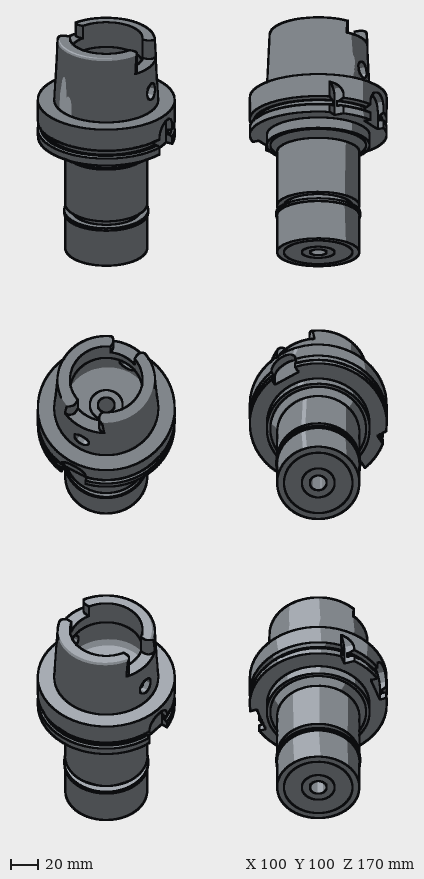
import cadquery as cq
import math


TOTAL_HEIGHT = 170.0
SHANK_LENGTH = 50.0
FLANGE_THICKNESS = 29.0
COLLAR_LENGTH = 8.0
NUT_HEIGHT = 30.8
NUT_GAP = 5.3

FLANGE_TOP = TOTAL_HEIGHT - SHANK_LENGTH
FLANGE_BOTTOM = FLANGE_TOP - FLANGE_THICKNESS
COLLAR_BOTTOM = FLANGE_BOTTOM - COLLAR_LENGTH
BARREL_BOTTOM = NUT_HEIGHT + NUT_GAP

SHANK_BASE_DIAMETER = 76.0
SHANK_TAPER = 0.1
SHANK_TIP_DIAMETER = SHANK_BASE_DIAMETER - SHANK_TAPER * SHANK_LENGTH
SHANK_TIP_FILLET = 2.0

ENTRY_DIAMETER = 52.9
ENTRY_DEPTH = 20.0
CHAMBER_DIAMETER = 63.0
CHAMBER_WALL_DEPTH = 40.0
FLOOR_FILLET = (CHAMBER_DIAMETER - ENTRY_DIAMETER) / 2
FLOOR_Z = TOTAL_HEIGHT - CHAMBER_WALL_DEPTH - FLOOR_FILLET

NOTCH_WIDTH = 20.0
NOTCH_DEPTH_LEFT = 10.0
NOTCH_DEPTH_RIGHT = 15.0
NOTCH_SHOULDER_X = 32.3
NOTCH_CORNER_RADIUS = 5.0

CROSS_HOLE_DIAMETER = 12.2
CROSS_HOLE_DEPTH = 35.0

FLANGE_DIAMETER = 100.0
GROOVE_DIAMETER = 91.8
GROOVE_OFFSET = 17.0
GROOVE_FLOOR_WIDTH = 3.5
GROOVE_UPPER_BEVEL = 1.7
GROOVE_LOWER_BEVEL = 1.2
GROOVE_BEVEL_ANGLE = 30

SLOT_WIDTH = NOTCH_WIDTH
SLOT_TOP_OFFSET = 5.3
KEY_SLOT_FLOOR_X = 44.0
SIDE_SLOT_FLOOR_X = 31.1
SIDE_SLOT_WALL_Y = 31.6

COLLAR_DIAMETER = 75.0
BARREL_DIAMETER = 60.0
CONE_HEIGHT = 5.1
CONE_DIAMETER = 69.9
SPIGOT_DIAMETER = 50.0

NUT_DIAMETER = BARREL_DIAMETER
NUT_RIM_DIAMETER = 61.4
NUT_RIM_HEIGHT = 2.0

COLLET_DIAMETER = 24.0
COLLET_BORE = CROSS_HOLE_DIAMETER


def revolved(outline):
    """Solid of revolution about Z from (diameter, z) pairs of one half section."""
    points = [(diameter / 2, z) for diameter, z in outline]
    return cq.Workplane("YZ").polyline(points).close().revolve(360, (0, 0), (0, 1))


def cylinder(diameter, bottom, top):
    return cq.Workplane("XY").workplane(offset=bottom).circle(diameter / 2).extrude(top - bottom)


def holder_blank():
    """Outside of the holder, from the spigot inside the nut up to the shank's tip."""
    upper_edge = FLANGE_TOP - GROOVE_OFFSET
    upper_bevel_end = upper_edge - GROOVE_UPPER_BEVEL
    lower_bevel_end = upper_bevel_end - GROOVE_FLOOR_WIDTH
    lower_edge = lower_bevel_end - GROOVE_LOWER_BEVEL
    bevel_slope = math.tan(math.radians(GROOVE_BEVEL_ANGLE))
    upper_bevel_diameter = FLANGE_DIAMETER - 2 * GROOVE_UPPER_BEVEL / bevel_slope
    lower_bevel_diameter = FLANGE_DIAMETER - 2 * GROOVE_LOWER_BEVEL / bevel_slope
    blank = revolved([
        (0, 0),
        (SPIGOT_DIAMETER, 0),
        (SPIGOT_DIAMETER, BARREL_BOTTOM),
        (BARREL_DIAMETER, BARREL_BOTTOM),
        (BARREL_DIAMETER, COLLAR_BOTTOM - CONE_HEIGHT),
        (CONE_DIAMETER, COLLAR_BOTTOM),
        (COLLAR_DIAMETER, COLLAR_BOTTOM),
        (COLLAR_DIAMETER, FLANGE_BOTTOM),
        (FLANGE_DIAMETER, FLANGE_BOTTOM),
        (FLANGE_DIAMETER, lower_edge),
        (lower_bevel_diameter, lower_bevel_end),
        (GROOVE_DIAMETER, lower_bevel_end),
        (GROOVE_DIAMETER, upper_bevel_end),
        (upper_bevel_diameter, upper_bevel_end),
        (FLANGE_DIAMETER, upper_edge),
        (FLANGE_DIAMETER, FLANGE_TOP),
        (SHANK_BASE_DIAMETER, FLANGE_TOP),
        (SHANK_TIP_DIAMETER, TOTAL_HEIGHT),
        (0, TOTAL_HEIGHT),
    ])
    return blank.faces(">Z").edges().fillet(SHANK_TIP_FILLET)


def shank_hollow():
    chamber = cylinder(CHAMBER_DIAMETER, FLOOR_Z, TOTAL_HEIGHT - ENTRY_DEPTH)
    chamber = chamber.faces("<Z").edges().fillet(FLOOR_FILLET)
    return chamber.union(cylinder(ENTRY_DIAMETER, TOTAL_HEIGHT - ENTRY_DEPTH, TOTAL_HEIGHT))


def drive_notch(side, depth):
    """Notch cutter on side +1 or -1 of X; it widens past the rounded rim ends."""
    half_width = NOTCH_WIDTH / 2
    radius = NOTCH_CORNER_RADIUS
    reach = SHANK_BASE_DIAMETER / 2
    corner_start = NOTCH_SHOULDER_X - radius
    corner_end = half_width + radius
    arc_x = corner_start + radius * math.sin(math.radians(45))
    arc_y = corner_end - radius * math.cos(math.radians(45))
    return (
        cq.Workplane("XY")
        .workplane(offset=TOTAL_HEIGHT - depth)
        .moveTo(0, -half_width)
        .lineTo(side * corner_start, -half_width)
        .threePointArc((side * arc_x, -arc_y), (side * NOTCH_SHOULDER_X, -corner_end))
        .lineTo(side * NOTCH_SHOULDER_X, -reach)
        .lineTo(side * reach, -reach)
        .lineTo(side * reach, reach)
        .lineTo(side * NOTCH_SHOULDER_X, reach)
        .lineTo(side * NOTCH_SHOULDER_X, corner_end)
        .threePointArc((side * arc_x, arc_y), (side * corner_start, half_width))
        .lineTo(0, half_width)
        .close()
        .extrude(depth)
    )


def flange_slot(side, floor_x, center_y):
    """Round-topped slot cutter, open to the flange's lower face and outwards along X."""
    radius = SLOT_WIDTH / 2
    crown_z = FLANGE_TOP - SLOT_TOP_OFFSET
    outline = (
        cq.Workplane("YZ")
        .workplane(offset=side * floor_x)
        .moveTo(center_y - radius, FLANGE_BOTTOM)
        .lineTo(center_y - radius, crown_z - radius)
        .threePointArc((center_y, crown_z), (center_y + radius, crown_z - radius))
        .lineTo(center_y + radius, FLANGE_BOTTOM)
        .close()
    )
    return outline.extrude(side * (FLANGE_DIAMETER / 2 - floor_x))


def make_holder():
    cross_hole = (
        cq.Workplane("YZ")
        .center(0, TOTAL_HEIGHT - CROSS_HOLE_DEPTH)
        .circle(CROSS_HOLE_DIAMETER / 2)
        .extrude(SHANK_BASE_DIAMETER / 2, both=True)
    )
    body = holder_blank().cut(shank_hollow()).cut(cross_hole)
    body = body.cut(drive_notch(-1, NOTCH_DEPTH_LEFT)).cut(drive_notch(1, NOTCH_DEPTH_RIGHT))
    for side in (-1, 1):
        body = body.cut(flange_slot(side, KEY_SLOT_FLOOR_X, 0))
    body = body.cut(flange_slot(-1, SIDE_SLOT_FLOOR_X, SIDE_SLOT_WALL_Y + SLOT_WIDTH / 2))
    return body.cut(cylinder(COLLET_DIAMETER, 0, FLOOR_Z))


def make_nut():
    """Ring around the holder's spigot, with a slightly wider rim at its top."""
    ring = cylinder(NUT_DIAMETER, 0, NUT_HEIGHT)
    rim = cylinder(NUT_RIM_DIAMETER, NUT_HEIGHT - NUT_RIM_HEIGHT, NUT_HEIGHT)
    return ring.union(rim).cut(cylinder(SPIGOT_DIAMETER, 0, NUT_HEIGHT))


def make_collet():
    """Bored sleeve in the holder's axial hole, level with the floor of the hollow."""
    return cylinder(COLLET_DIAMETER, 0, FLOOR_Z).cut(cylinder(COLLET_BORE, 0, FLOOR_Z))


holder = make_holder().solids()
nut = make_nut().solids()
collet = make_collet().solids()

result = cq.Compound.makeCompound([holder.val(), nut.val(), collet.val()])